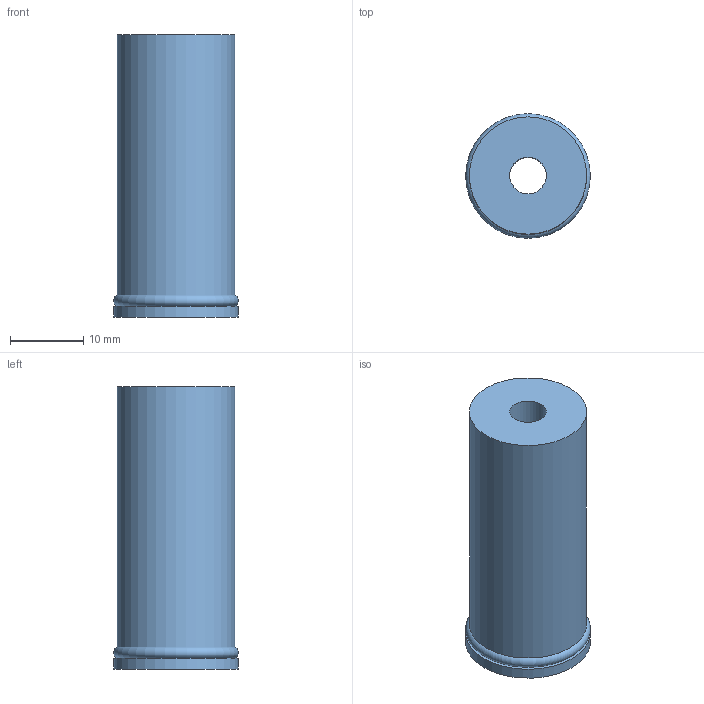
import cadquery as cq

total_height = 38.5
body_diameter = 16.0
flange_diameter = 17.0
bore_diameter = 5.0
flange_height = 1.5
bead_height = 1.5

body_radius = body_diameter / 2
flange_radius = flange_diameter / 2
bore_radius = bore_diameter / 2
bead_middle_height = flange_height + bead_height / 2
bead_top_height = flange_height + bead_height


def make_sleeve():
    """Half section of the flanged sleeve, with bead and through bore, revolved about Z."""
    bead_crest = (flange_radius, bead_middle_height)
    bead_top = (body_radius, bead_top_height)
    half_section = (
        cq.Workplane("XZ")
        .moveTo(bore_radius, 0)
        .lineTo(flange_radius, 0)
        .lineTo(flange_radius, flange_height)
        .lineTo(body_radius, flange_height)
        .threePointArc(bead_crest, bead_top)
        .lineTo(body_radius, total_height)
        .lineTo(bore_radius, total_height)
        .close()
    )
    axis_start = (0, 0)
    axis_end = (0, 1)
    return half_section.revolve(360, axis_start, axis_end)


result = make_sleeve()